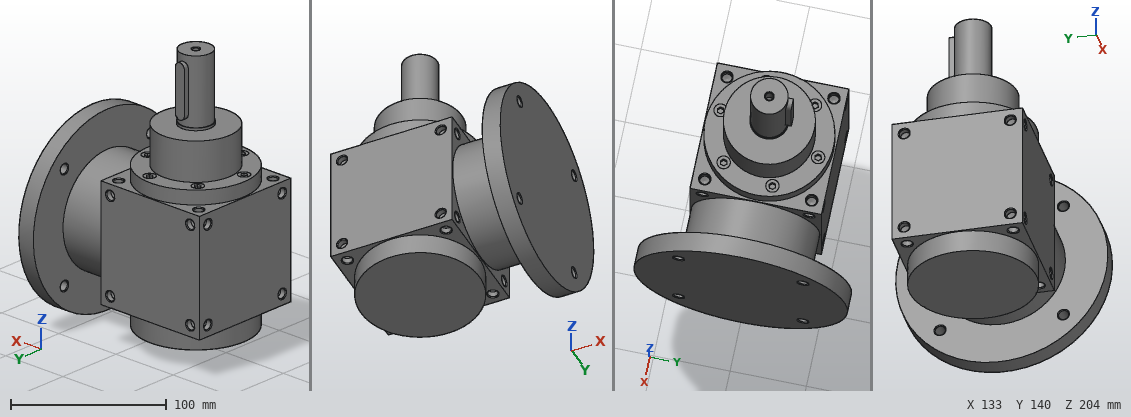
import cadquery as cq
import math


cube_side = 86.0
cover_diameter = 84.0
upper_cover_height = 10.5
lower_cover_height = 14.9
hub_diameter = 59.0
hub_height = 28.8

flange_diameter = 140.0
flange_thickness = 12.9
flange_face_x = 90.0
flange_bolt_circle = 115.0
flange_hole_count = 4

thread_core_diameter = 6.7
thread_mouth_diameter = 8.0
corner_hole_spacing = 70.0
corner_hole_depth = 4.5
drill_point_angle = 118

screw_count = 6
screw_circle = 70.0
screw_start_angle = 15
screw_head_diameter = 8.5
screw_head_recess = 0.1
socket_across_corners = 4.7
socket_sides = 6
socket_depth = 3.0

overall_height = 204
shaft_diameter = 24.0
collar_diameter = 25.0
collar_height = 1.8
center_hole_diameter = 4.9
center_hole_mouth_diameter = 6.1
center_hole_depth = 10.0

key_width = 8.0
key_length = 40.0
key_height = 7.0
key_top_y = 15.0
key_end_gap = 5.0

half_cube = cube_side / 2
cover_top_z = half_cube + upper_cover_height
hub_top_z = cover_top_z + hub_height
shaft_end_z = overall_height - flange_diameter / 2
flange_back_x = flange_face_x - flange_thickness


def cylinder(diameter, start, length, direction):
    """Solid cylinder from a start point along a direction."""
    return cq.Workplane(cq.Solid.makeCylinder(diameter / 2, length, cq.Vector(start), cq.Vector(direction)))


def blind_hole(core_diameter, mouth_diameter, depth):
    """Cutter for a hole going down from the origin: 45 degree mouth chamfer and conical bottom."""
    core_radius = core_diameter / 2
    mouth_radius = mouth_diameter / 2
    chamfer = mouth_radius - core_radius
    point_height = core_radius / math.tan(math.radians(drill_point_angle / 2))
    return (
        cq.Workplane("XZ")
        .moveTo(0, 0)
        .lineTo(mouth_radius, 0)
        .lineTo(core_radius, -chamfer)
        .lineTo(core_radius, -depth)
        .lineTo(0, -depth - point_height)
        .close()
        .revolve(360, (0, 0, 0), (0, 1, 0))
    )


def corner_holes():
    """Four blind threaded holes near the corners of each of the six cube faces."""
    hole = blind_hole(thread_core_diameter, thread_mouth_diameter, corner_hole_depth)
    offset = corner_hole_spacing / 2
    top_holes = [
        hole.translate((x, y, half_cube))
        for x in (-offset, offset)
        for y in (-offset, offset)
    ]
    face_turns = [((1, 0, 0), angle) for angle in (0, 90, 180, 270)]
    face_turns += [((0, 1, 0), angle) for angle in (90, 270)]
    return [
        top_hole.rotate((0, 0, 0), axis, angle)
        for axis, angle in face_turns
        for top_hole in top_holes
    ]


def flange_holes():
    """Threaded through holes in the flange, chamfered at both faces."""
    core_radius = thread_core_diameter / 2
    mouth_radius = thread_mouth_diameter / 2
    chamfer = mouth_radius - core_radius
    radial = flange_bolt_circle / 2
    hole = (
        cq.Workplane("XY")
        .moveTo(flange_back_x, 0)
        .lineTo(flange_back_x, mouth_radius)
        .lineTo(flange_back_x + chamfer, core_radius)
        .lineTo(flange_face_x - chamfer, core_radius)
        .lineTo(flange_face_x, mouth_radius)
        .lineTo(flange_face_x, 0)
        .close()
        .revolve(360, (0, 0, 0), (1, 0, 0))
        .translate((0, radial, 0))
    )
    step = 360 / flange_hole_count
    return [
        hole.rotate((0, 0, 0), (1, 0, 0), step * (i + 0.5))
        for i in range(flange_hole_count)
    ]


def screw_recesses():
    """Round head recess and hexagon socket of each cover screw."""
    head_z = cover_top_z - screw_head_recess
    head = cylinder(screw_head_diameter, (0, 0, head_z), screw_head_recess, (0, 0, 1))
    socket = (
        cq.Workplane("XY")
        .workplane(offset=head_z - socket_depth)
        .polygon(socket_sides, socket_across_corners)
        .extrude(socket_depth)
    )
    recess = head.union(socket).translate((screw_circle / 2, 0, 0))
    return [
        recess.rotate((0, 0, 0), (0, 0, 1), screw_start_angle + i * 360 / screw_count)
        for i in range(screw_count)
    ]


def make_housing():
    """Cube with upper cover, hub, lower cover, neck and flange."""
    up, down, outward = (0, 0, 1), (0, 0, -1), (1, 0, 0)
    housing = (
        cq.Workplane("XY")
        .box(cube_side, cube_side, cube_side)
        .union(cylinder(cover_diameter, (0, 0, half_cube), upper_cover_height, up))
        .union(cylinder(hub_diameter, (0, 0, cover_top_z), hub_height, up))
        .union(cylinder(cover_diameter, (0, 0, -half_cube), lower_cover_height, down))
        .union(cylinder(cover_diameter, (half_cube, 0, 0), flange_back_x - half_cube, outward))
        .union(cylinder(flange_diameter, (flange_back_x, 0, 0), flange_thickness, outward))
    )
    for cutter in corner_holes() + flange_holes() + screw_recesses():
        housing = housing.cut(cutter)
    return housing


def make_key():
    """Key with round ends, lying along the shaft on its +Y side."""
    key_center_z = shaft_end_z - key_end_gap - key_length / 2
    return (
        cq.Workplane("XZ", origin=(0, key_top_y, key_center_z))
        .slot2D(key_length, key_width, 90)
        .extrude(key_height)
    )


def make_shaft(key):
    """Shaft with a collar resting on the hub, a centre hole and a keyway that fits the key."""
    collar = cylinder(collar_diameter, (0, 0, hub_top_z), collar_height, (0, 0, 1))
    journal_z = hub_top_z + collar_height
    journal = cylinder(shaft_diameter, (0, 0, journal_z), shaft_end_z - journal_z, (0, 0, 1))
    center_hole = blind_hole(center_hole_diameter, center_hole_mouth_diameter, center_hole_depth)
    return collar.union(journal).cut(center_hole.translate((0, 0, shaft_end_z))).cut(key)


housing = make_housing()
key = make_key()
shaft = make_shaft(key)

result = cq.Compound.makeCompound([body.solids().val() for body in (housing, shaft, key)])